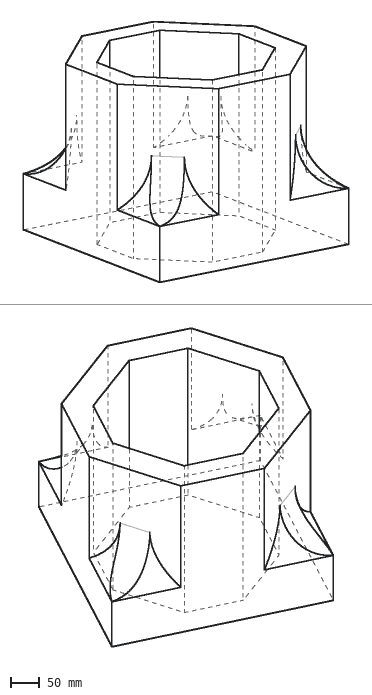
import cadquery as cq
import math

width = 406.5
height = 330.0
base_height = 101.5
corner_cut = 126.5
wall = 51.0
bore_corner_cut = 98.5
broach_height = 101.5
side_run = 42.5

half = width / 2
bore_width = width - 2 * wall
diagonal_run = corner_cut / math.sqrt(2)
broach_top = base_height + broach_height


def octagonal_prism(across, cut):
    """Full-height prism: a square with its vertical corners cut at 45 degrees."""
    return cq.Workplane("XY").rect(across, across).extrude(height).edges("|Z").chamfer(cut)


def concave_block(corner_distance, run, heading):
    """Block from the part's axis out to a concave arc, vertical at its top, facing the heading."""
    radius = (run**2 + broach_height**2) / (2 * run)
    sweep = math.asin(broach_height / radius)
    arc_top = corner_distance - run
    arc_mid = (
        arc_top + radius * (1 - math.cos(sweep / 2)),
        broach_top - radius * math.sin(sweep / 2),
    )
    return (
        cq.Workplane("XZ")
        .moveTo(0, base_height)
        .lineTo(corner_distance, base_height)
        .threePointArc(arc_mid, (arc_top, broach_top))
        .lineTo(0, broach_top)
        .close()
        .extrude(width, both=True)
        .rotate((0, 0, 0), (0, 0, 1), heading)
    )


def corner_broach():
    """Broach in the +X +Y corner: two side faces and a tapering strip on the diagonal."""
    side_x = concave_block(half, side_run, 0)
    side_y = concave_block(half, side_run, 90)
    strip = concave_block(half * math.sqrt(2), diagonal_run, 45)
    return side_x.intersect(side_y).intersect(strip)


base = cq.Workplane("XY").rect(width, width).extrude(base_height)
body = base.union(octagonal_prism(width, corner_cut))

broach = corner_broach()
for quarter in range(4):
    body = body.union(broach.rotate((0, 0, 0), (0, 0, 1), 90 * quarter))

result = body.cut(octagonal_prism(bore_width, bore_corner_cut))